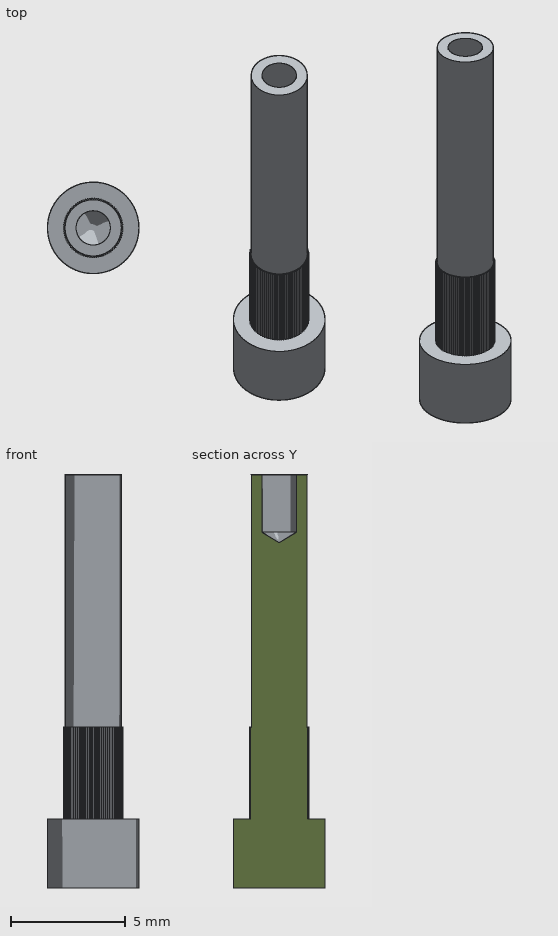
import cadquery as cq
import math

total_length = 18.0
head_diameter = 4.0
head_height = 3.0
tube_diameter = 2.45

knurl_height = 4.0
knurl_top = head_height + knurl_height
knurl_tip_diameter = 2.6
knurl_root_diameter = 2.5
knurl_teeth = 84

bore_diameter = 1.5
bore_depth = 2.5
drill_point_angle = 118.0


def polar_point(diameter, angle):
    """Point on a circle of the given diameter, with the angle in radians."""
    radius = diameter / 2
    return radius * math.cos(angle), radius * math.sin(angle)


def make_head():
    return cq.Workplane("XY").circle(head_diameter / 2).extrude(head_height)


def make_tube():
    return cq.Workplane("XY").circle(tube_diameter / 2).extrude(total_length)


def make_knurl():
    """Straight knurl: a ring of V-shaped teeth running along the axis."""
    tooth_angle = 2 * math.pi / knurl_teeth
    outline = []
    for tooth in range(knurl_teeth):
        root_angle = tooth * tooth_angle
        outline.append(polar_point(knurl_root_diameter, root_angle))
        outline.append(polar_point(knurl_tip_diameter, root_angle + tooth_angle / 2))
    head_top = cq.Workplane("XY").workplane(offset=head_height)
    return head_top.polyline(outline).close().extrude(knurl_height)


def make_bore():
    """Cylindrical hole ending in the cone left by the drill point."""
    bore_radius = bore_diameter / 2
    cone_height = bore_radius / math.tan(math.radians(drill_point_angle / 2))
    bore_floor = total_length - bore_depth
    return (
        cq.Workplane("XZ")
        .moveTo(0, bore_floor - cone_height)
        .lineTo(bore_radius, bore_floor)
        .lineTo(bore_radius, total_length)
        .lineTo(0, total_length)
        .close()
        .revolve(360, (0, 0, 0), (0, 1, 0))
    )


result = make_head().union(make_tube()).union(make_knurl()).cut(make_bore())